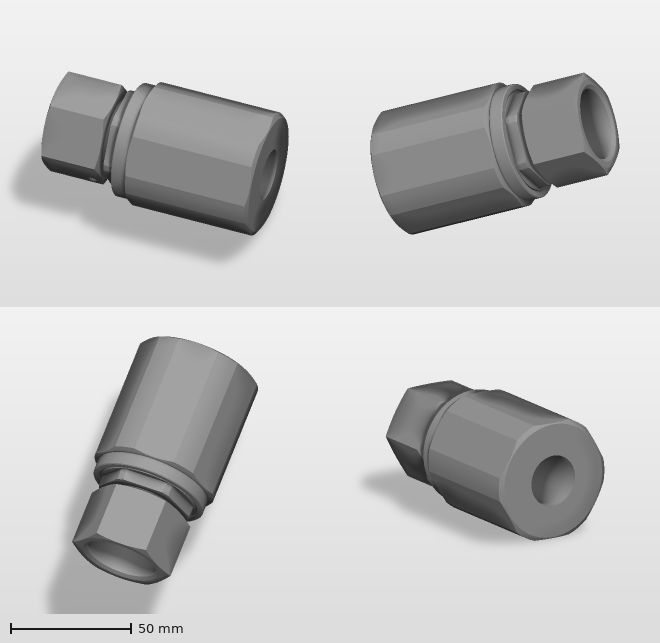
import cadquery as cq
import math

nut_end = 25.6
body_hex_start = 27.9
collar_start = 32.7
sleeve_start = 38.7
total_length = 93.85

nut_flats = 38.0
nut_corner_radius = nut_flats / math.sqrt(3)
nut_chamfer_length = 1.0
nut_bore_radius = 15.1
nut_mouth_radius = 16.6
nut_mouth_depth = 1.1

nose_start = 12.1
nose_face_radius = 12.2
nose_back_radius = 14.8
ball_radius = nut_bore_radius
bore_radius = 10.9

wire_hole_x = 20.6
wire_hole_z = -15.2
wire_hole_diameter = 3.6
wire_hole_floor_radius = 17.1

neck_radius = 15.0
body_hex_flats = 36.3
body_hex_radius = 20.2
body_hex_turn = 1.7
body_hex_front_radius = 20.0
body_hex_back_radius = 20.5
body_hex_edge_length = 0.75
body_hex_flare_length = 0.6

collar_radius = 24.4
collar_chamfer = 0.4
groove_inner_radius = 21.0
groove_outer_radius = 21.9
groove_depth = 0.9

sleeve_flats = 50.0
sleeve_radius = 26.5
sleeve_end_radius = 24.5
sleeve_chamfer_length = 1.2


def cylinder(start, end, radius):
    """Solid cylinder on the X axis."""
    return cq.Workplane("YZ").workplane(offset=start).circle(radius).extrude(end - start)


def hexagon(start, end, flats):
    """Hexagonal bar on the X axis, with corners on +Y and -Y."""
    across_corners = 2 * flats / math.sqrt(3)
    return cq.Workplane("YZ").workplane(offset=start).polygon(6, across_corners).extrude(end - start)


def turned(profile):
    """Solid turned about the X axis from (x, radius) points."""
    outline = [(profile[0][0], 0)] + profile + [(profile[-1][0], 0)]
    return cq.Workplane("XY").polyline(outline).close().revolve(360, (0, 0, 0), (1, 0, 0))


def barrel(start, end, radius, end_radius, chamfer_length):
    """Turned blank with the same conical chamfer at both ends."""
    return turned([
        (start, end_radius),
        (start + chamfer_length, radius),
        (end - chamfer_length, radius),
        (end, end_radius),
    ])


def make_nut():
    blank = barrel(0, nut_end, nut_corner_radius, nut_flats / 2, nut_chamfer_length)
    return hexagon(0, nut_end, nut_flats).intersect(blank)


def make_body_hex():
    blank = turned([
        (body_hex_start, body_hex_front_radius),
        (body_hex_start + body_hex_edge_length, body_hex_radius),
        (collar_start - body_hex_flare_length, body_hex_radius),
        (collar_start, body_hex_back_radius),
    ])
    bar = hexagon(body_hex_start, collar_start, body_hex_flats)
    return bar.rotate((0, 0, 0), (1, 0, 0), -body_hex_turn).intersect(blank)


def make_collar():
    collar = barrel(collar_start, sleeve_start, collar_radius, collar_radius - collar_chamfer, collar_chamfer)
    groove_end = collar_start + groove_depth
    groove = cylinder(collar_start, groove_end, groove_outer_radius).cut(
        cylinder(collar_start, groove_end, groove_inner_radius)
    )
    return collar.cut(groove)


def make_sleeve():
    blank = barrel(sleeve_start, total_length, sleeve_radius, sleeve_end_radius, sleeve_chamfer_length)
    return hexagon(sleeve_start, total_length, sleeve_flats).intersect(blank)


def make_nut_cavity():
    """Space in front of and around the ball nose."""
    ball_center = nose_start + math.sqrt(ball_radius**2 - nose_face_radius**2)
    nose_back = ball_center - math.sqrt(ball_radius**2 - nose_back_radius**2)
    middle_radius = (nose_face_radius + nose_back_radius) / 2
    middle_x = ball_center - math.sqrt(ball_radius**2 - middle_radius**2)
    return (
        cq.Workplane("XY")
        .moveTo(0, 0)
        .lineTo(0, nut_mouth_radius)
        .lineTo(nut_mouth_depth, nut_bore_radius)
        .lineTo(nose_back, nut_bore_radius)
        .lineTo(nose_back, nose_back_radius)
        .threePointArc((middle_x, middle_radius), (nose_start, nose_face_radius))
        .lineTo(nose_start, 0)
        .close()
        .revolve(360, (0, 0, 0), (1, 0, 0))
    )


def make_wire_hole():
    """Blind hole along Y from the -Y side, with a round floor coaxial with the nut."""
    drill = (
        cq.Workplane("XZ")
        .center(wire_hole_x, wire_hole_z)
        .circle(wire_hole_diameter / 2)
        .extrude(nut_corner_radius)
    )
    return drill.cut(cylinder(0, nut_end, wire_hole_floor_radius))


neck = cylinder(nut_end, body_hex_start, neck_radius)
result = make_nut().union(neck).union(make_body_hex()).union(make_collar()).union(make_sleeve())
result = result.cut(make_nut_cavity()).cut(cylinder(0, total_length, bore_radius)).cut(make_wire_hole())